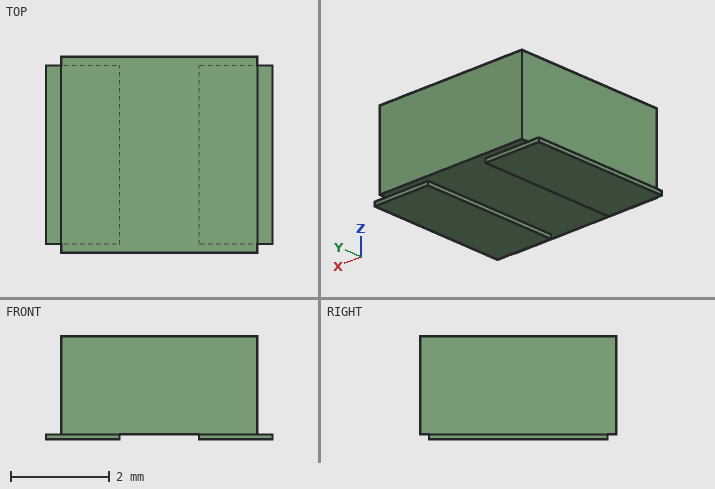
import cadquery as cq

overall_length = 4.62
housing_side = 4.0
overall_height = 2.1
terminal_thickness = 0.1
terminal_length = 1.5
terminal_width = 3.64

housing_height = overall_height - terminal_thickness
terminal_center_x = (overall_length - terminal_length) / 2


def make_housing():
    """Square block resting on top of the terminals."""
    return (
        cq.Workplane("XY")
        .workplane(offset=terminal_thickness)
        .rect(housing_side, housing_side)
        .extrude(housing_height)
    )


def make_terminal(side):
    """Flat plate under one X end of the housing; side is -1 or +1."""
    return (
        cq.Workplane("XY")
        .center(side * terminal_center_x, 0)
        .rect(terminal_length, terminal_width)
        .extrude(terminal_thickness)
    )


housing = make_housing()
terminals = [make_terminal(side) for side in (-1, 1)]

result = cq.Compound.makeCompound(
    [housing.val(), *[terminal.val() for terminal in terminals]]
)